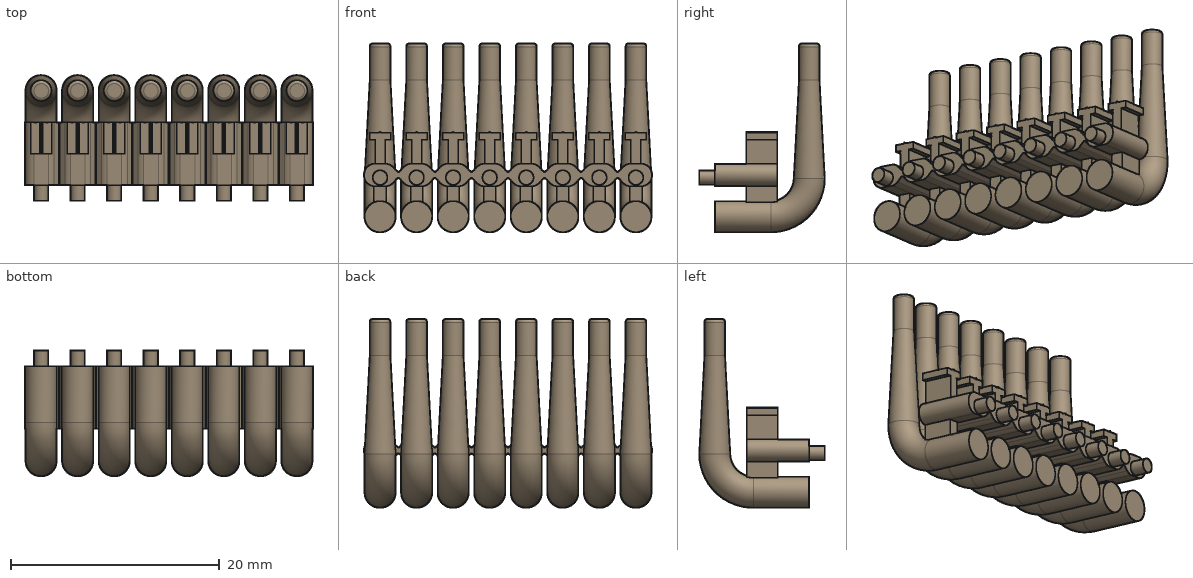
import cadquery as cq
import math

PIN_COUNT = 8
PITCH = 3.5

PIN_RADIUS = 1.5
BEND_RADIUS = 3.7
FOOT_LENGTH = 5.35
BEND_END_Y = FOOT_LENGTH + BEND_RADIUS
BEND_END_Z = PIN_RADIUS + BEND_RADIUS
CONE_HEIGHT = 9.4
TIP_HEIGHT = 3.5
TIP_RADIUS = 1.0
TIP_FILLET = 0.3

BAR_LENGTH = 6.0
BAR_CENTER_Z = 5.5
BAR_HALF_HEIGHT = 1.06
BAR_FLAT_HALF_WIDTH = 0.7
BEAD_HALF_WIDTH = 1.56
NECK_HALF_HEIGHT = 0.3
NECK_WIDTH = 0.1
FLANK_START_X = 1.23

TAB_LENGTH = 3.0
TAB_TOP_Z = 9.52
HEAD_WIDTH = 2.0
HEAD_HEIGHT = 0.67
STEM_WIDTH = 0.95
LEG_WIDTH = 1.17
RIDGE_WIDTH = 0.28
RIDGE_HEIGHT = 0.1

PEG_RADIUS = 0.7
PEG_LENGTH = 1.5
PEG_CENTER_Z = 5.25

ARC_CENTER_X = (BEAD_HALF_WIDTH**2 - BAR_FLAT_HALF_WIDTH**2 - BAR_HALF_HEIGHT**2) / (
    2 * (BEAD_HALF_WIDTH - BAR_FLAT_HALF_WIDTH)
)
ARC_RADIUS = BEAD_HALF_WIDTH - ARC_CENTER_X

STATION_X = [(i - (PIN_COUNT - 1) / 2) * PITCH for i in range(PIN_COUNT)]


def arc_height(x):
    """Half-height of a bead's side arc at distance x from the bead centre."""
    return math.sqrt(ARC_RADIUS**2 - (x - ARC_CENTER_X) ** 2)


def along_y(profile, length):
    """Extrude an XZ profile in the +Y direction."""
    return profile.extrude(-length)


def tab_block(width, bottom, top):
    """Block centred on X = 0 over the rear part of the bar."""
    corner = (-width / 2, BAR_LENGTH - TAB_LENGTH, bottom)
    return cq.Workplane("XY").box(width, TAB_LENGTH, top - bottom, centered=False).translate(corner)


def make_pin():
    """Horizontal foot, quarter bend, tapered shank and rounded tip."""
    path = (
        cq.Workplane("YZ")
        .moveTo(0, PIN_RADIUS)
        .lineTo(FOOT_LENGTH, PIN_RADIUS)
        .radiusArc((BEND_END_Y, BEND_END_Z), -BEND_RADIUS)
    )
    bent_foot = cq.Workplane("XZ").center(0, PIN_RADIUS).circle(PIN_RADIUS).sweep(path)
    shank = (
        cq.Workplane("XY", origin=(0, BEND_END_Y, BEND_END_Z))
        .circle(PIN_RADIUS)
        .workplane(offset=CONE_HEIGHT)
        .circle(TIP_RADIUS)
        .loft()
    )
    tip = shank.faces(">Z").workplane().circle(TIP_RADIUS).extrude(TIP_HEIGHT, combine=False)
    tip = tip.faces(">Z").edges().fillet(TIP_FILLET)
    return bent_foot.union(shank).union(tip)


def make_tab():
    """T-shaped tab with a small ridge along the middle of its top."""
    stem = tab_block(STEM_WIDTH, BAR_CENTER_Z, TAB_TOP_Z)
    head = tab_block(HEAD_WIDTH, TAB_TOP_Z - HEAD_HEIGHT, TAB_TOP_Z)
    ridge = along_y(
        cq.Workplane("XZ", origin=(0, BAR_LENGTH - TAB_LENGTH, 0))
        .moveTo(-RIDGE_WIDTH / 2, TAB_TOP_Z)
        .lineTo(RIDGE_WIDTH / 2, TAB_TOP_Z)
        .lineTo(0, TAB_TOP_Z + RIDGE_HEIGHT)
        .close(),
        TAB_LENGTH,
    )
    return stem.union(head).union(ridge)


def make_station():
    """Everything that belongs to one pin position, except the bar."""
    leg = tab_block(LEG_WIDTH, PIN_RADIUS, BAR_CENTER_Z)
    peg = along_y(
        cq.Workplane("XZ", origin=(0, -PEG_LENGTH, 0)).center(0, PEG_CENTER_Z).circle(PEG_RADIUS),
        PEG_LENGTH + BAR_LENGTH,
    )
    return make_pin().union(leg).union(make_tab()).union(peg)


def bar_edge(outline, stations, side):
    """Trace the top (side = 1) or bottom (side = -1) of the bar between the end beads.

    Stations are followed in the given order, moving in the +X direction for the
    top edge and in the -X direction for the bottom edge.
    """
    arc_mid_x = (BAR_FLAT_HALF_WIDTH + FLANK_START_X) / 2

    def point(x, dx, height):
        """Point dx ahead of the bead centre x, at the given distance from mid-height."""
        return (x + side * dx, BAR_CENTER_Z + side * height)

    flat_edge = (BAR_FLAT_HALF_WIDTH, BAR_HALF_HEIGHT)
    arc_mid = (arc_mid_x, arc_height(arc_mid_x))
    arc_end = (FLANK_START_X, arc_height(FLANK_START_X))
    for here, following in zip(stations, stations[1:]):
        outline = outline.lineTo(*point(here, *flat_edge))
        outline = outline.threePointArc(point(here, *arc_mid), point(here, *arc_end))
        outline = outline.lineTo(*point(here, (PITCH - NECK_WIDTH) / 2, NECK_HALF_HEIGHT))
        outline = outline.lineTo(*point(here, (PITCH + NECK_WIDTH) / 2, NECK_HALF_HEIGHT))
        outline = outline.lineTo(*point(following, -arc_end[0], arc_end[1]))
        outline = outline.threePointArc(
            point(following, -arc_mid[0], arc_mid[1]), point(following, -flat_edge[0], flat_edge[1])
        )
    return outline.lineTo(*point(stations[-1], *flat_edge))


def make_bar():
    """Bar of rounded beads joined by narrow necks."""
    top = BAR_CENTER_Z + BAR_HALF_HEIGHT
    bottom = BAR_CENTER_Z - BAR_HALF_HEIGHT
    first, last = STATION_X[0], STATION_X[-1]
    outline = cq.Workplane("XZ").moveTo(first - BAR_FLAT_HALF_WIDTH, top)
    outline = bar_edge(outline, STATION_X, 1)
    outline = outline.threePointArc(
        (last + BEAD_HALF_WIDTH, BAR_CENTER_Z), (last + BAR_FLAT_HALF_WIDTH, bottom)
    )
    outline = bar_edge(outline, STATION_X[::-1], -1)
    outline = outline.threePointArc(
        (first - BEAD_HALF_WIDTH, BAR_CENTER_Z), (first - BAR_FLAT_HALF_WIDTH, top)
    )
    return along_y(outline.close(), BAR_LENGTH)


station = make_station()
result = make_bar()
for station_x in STATION_X:
    result = result.union(station.translate((station_x, 0, 0)))